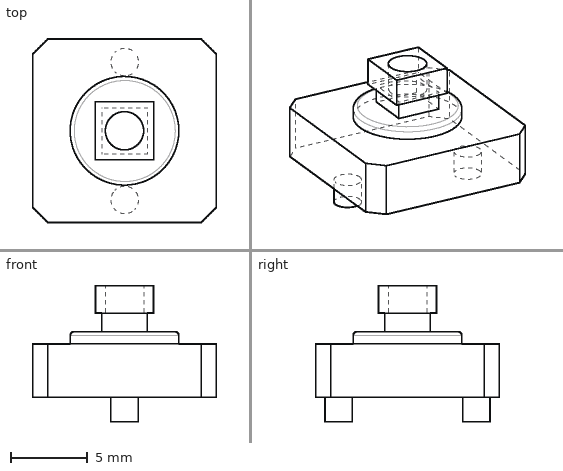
import cadquery as cq

housing_width = 12.0
housing_height = 3.5
corner_chamfer = 1.0

collar_diameter = 7.1
collar_height = 0.8
collar_fillet = 0.25

neck_width = 3.0
neck_height = 1.2
cap_width = 3.8
cap_height = 1.8

cap_hole_diameter = 2.5
cap_hole_depth = cap_height

pin_diameter = 1.8
pin_length = 1.6
pin_spacing = 9.0

collar_base = housing_height
neck_base = collar_base + collar_height
cap_base = neck_base + neck_height
cap_top = cap_base + cap_height


def square_block(width, height, base):
    """Square block centred on the Z axis, standing on the given level."""
    return cq.Workplane("XY").workplane(offset=base).rect(width, width).extrude(height)


def make_housing():
    block = square_block(housing_width, housing_height, 0)
    return block.edges("|Z").chamfer(corner_chamfer)


def make_collar():
    disc = cq.Workplane("XY").workplane(offset=collar_base).circle(collar_diameter / 2).extrude(collar_height)
    return disc.faces(">Z").edges().fillet(collar_fillet)


def make_plunger():
    neck = square_block(neck_width, neck_height, neck_base)
    cap = square_block(cap_width, cap_height, cap_base)
    return neck.union(cap)


def make_cap_hole():
    return (
        cq.Workplane("XY")
        .workplane(offset=cap_top)
        .circle(cap_hole_diameter / 2)
        .extrude(-cap_hole_depth)
    )


def make_pins():
    pin_centres = [(0, -pin_spacing / 2), (0, pin_spacing / 2)]
    return cq.Workplane("XY").pushPoints(pin_centres).circle(pin_diameter / 2).extrude(-pin_length)


result = (
    make_housing()
    .union(make_collar())
    .union(make_plunger())
    .union(make_pins())
    .cut(make_cap_hole())
)